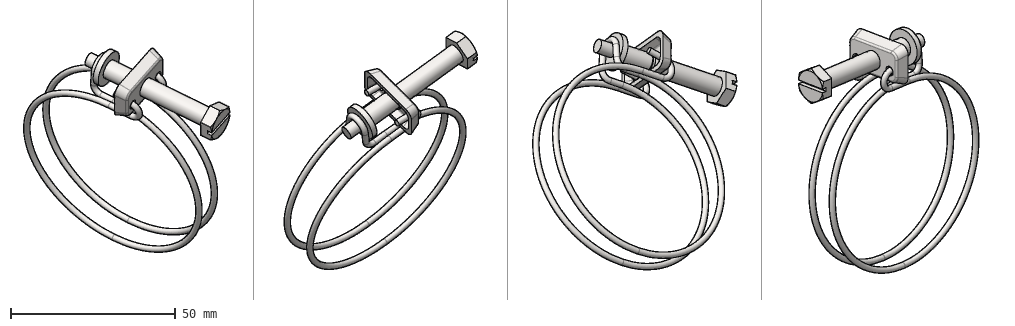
import cadquery as cq
import math


WIRE_DIAMETER = 2.0
WIRE_RADIUS = WIRE_DIAMETER / 2
LOOP_INNER_RADIUS = 30.0
LOOP_RADIUS = LOOP_INNER_RADIUS + WIRE_RADIUS
INNER_STRAND_Y = 4.25
OUTER_STRAND_Y = 6.35
SADDLE_RADIUS = 3.55
LEG_BEND_RADIUS = 3.0
HOOK_START_X = 7.65
HOOK_RADIUS = 3.2
HOOK_LEAN = 5.6
HOOK_RISE = 11
HOOK_END_LENGTH = 6.2

AXIS_Z = 38.75
NECK_DIAMETER = 4.3
NECK_START_X = -11.9
COLLAR_DIAMETER = 11.7
COLLAR_START_X = -6.5
COLLAR_END_X = -4.65
SHAFT_DIAMETER = 6.2
HEAD_END_X = 36.2
HEAD_LENGTH = 4.0
HEAD_SIDES = 6
HEAD_CORNER_DIAMETER = 11.7
HEAD_CHAMFER_ANGLE = 30
SLOT_WIDTH = 1.2
SLOT_DEPTH = 1.6

PLATE_START_X = 4.7
PLATE_DEPTH = 4.0
PLATE_WIDTH = 22.0
PLATE_HEIGHT = 13.15
PLATE_CORNER_RADIUS = 2.7
PLATE_SIDE_INSET = 1.0
PLATE_TOP_INSET = 1.55
CORNER_NARROWING = 0.4
PLATE_EDGE_RADIUS = 0.8
CUP_WIDTH = 19.1
CUP_HEIGHT = 9.75
CUP_CORNER_RADIUS = 2.3
CUP_DEPTH = 2.5
CUP_SIDE_INSET = 0.85
CUP_TOP_INSET = 1.1
CUP_FLOOR_RADIUS = 0.3
BOSS_DIAMETER = 7.1
BOSS_HEIGHT = 0.8
WIRE_HOLE_DIAMETER = 3.0
WIRE_HOLE_Y = 7.0
WIRE_HOLE_Z = 37.2


def direction(degrees):
    """Return the cosine and sine of an angle."""
    angle = math.radians(degrees)
    return math.cos(angle), math.sin(angle)


def make_wire():
    """One round wire: a saddle over the screw neck, then a leg, a loop and a hook on each side."""
    saddle_x = COLLAR_START_X - WIRE_RADIUS
    saddle_top_z = AXIS_Z + NECK_DIAMETER / 2 + WIRE_RADIUS
    saddle_centre_z = saddle_top_z - SADDLE_RADIUS

    drop = saddle_centre_z - LOOP_RADIUS
    reach = math.hypot(INNER_STRAND_Y, drop)
    lean = math.atan2(INNER_STRAND_Y, drop) - math.asin(SADDLE_RADIUS / reach)
    lean_cos, lean_sin = math.cos(lean), math.sin(lean)
    mid_bend_cos, mid_bend_sin = direction(45)
    hook_cos, hook_sin = direction(HOOK_LEAN)
    rise_cos, rise_sin = direction(HOOK_RISE)

    def side_edges(side):
        def place(x, y, z):
            return cq.Vector(x, side * y, z)

        def on_leg(x, height):
            return place(x, INNER_STRAND_Y - height * lean_sin, LOOP_RADIUS + height * lean_cos)

        def on_hook(x, height):
            return place(x, OUTER_STRAND_Y + height * hook_sin, LOOP_RADIUS + height * hook_cos)

        leg_top = place(
            saddle_x,
            SADDLE_RADIUS * lean_cos,
            saddle_centre_z + SADDLE_RADIUS * lean_sin,
        )
        bend_centre_x = saddle_x + LEG_BEND_RADIUS
        bend_start = on_leg(saddle_x, LEG_BEND_RADIUS)
        bend_middle = on_leg(
            bend_centre_x - LEG_BEND_RADIUS * mid_bend_cos,
            LEG_BEND_RADIUS * (1 - mid_bend_sin),
        )
        bend_end = on_leg(bend_centre_x, 0)

        loop_start = place(0, INNER_STRAND_Y, LOOP_RADIUS)
        loop_right = place(LOOP_RADIUS, INNER_STRAND_Y, 0)
        loop_bottom = place(0, INNER_STRAND_Y, -LOOP_RADIUS)
        loop_left = place(-LOOP_RADIUS, (INNER_STRAND_Y + OUTER_STRAND_Y) / 2, 0)
        loop_end = place(0, OUTER_STRAND_Y, LOOP_RADIUS)

        hook_start = on_hook(HOOK_START_X, 0)
        hook_middle = on_hook(HOOK_START_X + HOOK_RADIUS, HOOK_RADIUS)
        hook_top_x = HOOK_START_X + HOOK_RADIUS * rise_sin
        hook_top_height = HOOK_RADIUS * (1 + rise_cos)
        hook_top = on_hook(hook_top_x, hook_top_height)
        tip = on_hook(
            hook_top_x - HOOK_END_LENGTH * rise_cos,
            hook_top_height + HOOK_END_LENGTH * rise_sin,
        )
        return leg_top, [
            cq.Edge.makeLine(leg_top, bend_start),
            cq.Edge.makeThreePointArc(bend_start, bend_middle, bend_end),
            cq.Edge.makeLine(bend_end, loop_start),
            cq.Edge.makeThreePointArc(loop_start, loop_right, loop_bottom),
            cq.Edge.makeThreePointArc(loop_bottom, loop_left, loop_end),
            cq.Edge.makeLine(loop_end, hook_start),
            cq.Edge.makeThreePointArc(hook_start, hook_middle, hook_top),
            cq.Edge.makeLine(hook_top, tip),
        ]

    front_top, front_edges = side_edges(-1)
    back_top, back_edges = side_edges(1)
    saddle = cq.Edge.makeThreePointArc(front_top, cq.Vector(saddle_x, 0, saddle_top_z), back_top)
    path = cq.Wire.assembleEdges([*reversed(front_edges), saddle, *back_edges])
    tip = front_edges[-1].endPoint()
    section = cq.Plane(origin=tip, normal=front_edges[-1].tangentAt(1))
    return cq.Workplane(section).circle(WIRE_RADIUS).sweep(cq.Workplane(path))


def across_screw(x):
    """Workplane square to the screw axis, with local x along Y and local y along Z."""
    return cq.Workplane("YZ", origin=(x, 0, AXIS_Z))


def make_screw():
    """Neck, collar, shaft and a slotted, chamfered hexagon head."""
    head_start_x = HEAD_END_X - HEAD_LENGTH
    neck = across_screw(NECK_START_X).circle(NECK_DIAMETER / 2).extrude(COLLAR_START_X - NECK_START_X)
    collar = across_screw(COLLAR_START_X).circle(COLLAR_DIAMETER / 2).extrude(COLLAR_END_X - COLLAR_START_X)
    shaft = across_screw(COLLAR_END_X).circle(SHAFT_DIAMETER / 2).extrude(head_start_x - COLLAR_END_X)

    corner_radius = HEAD_CORNER_DIAMETER / 2
    flat_radius = corner_radius * math.cos(math.pi / HEAD_SIDES)
    chamfer_width = corner_radius - flat_radius
    chamfer_length = chamfer_width * math.tan(math.radians(HEAD_CHAMFER_ANGLE))
    hexagon = (
        across_screw(head_start_x)
        .transformed(rotate=(0, 0, 90))
        .polygon(HEAD_SIDES, HEAD_CORNER_DIAMETER)
        .extrude(HEAD_LENGTH)
    )
    chamfered_round = (
        across_screw(head_start_x)
        .circle(corner_radius)
        .extrude(HEAD_LENGTH)
        .faces(">X")
        .chamfer(chamfer_length, chamfer_width)
    )
    slot = (
        across_screw(HEAD_END_X - SLOT_DEPTH)
        .rect(HEAD_CORNER_DIAMETER, SLOT_WIDTH)
        .extrude(SLOT_DEPTH)
    )
    head = hexagon.intersect(chamfered_round).cut(slot)
    return neck.union(collar).union(shaft).union(head)


def tapered_block(width, height, depth, corner_radius, side_inset, top_inset):
    """Rounded rectangular block from the plate's open side, each side moving in by its inset along +X."""
    wide = cq.Sketch().rect(width, height).vertices().fillet(corner_radius)
    narrow = (
        cq.Sketch()
        .rect(width - 2 * side_inset, height - 2 * top_inset)
        .vertices()
        .fillet(corner_radius - CORNER_NARROWING)
    )
    return across_screw(PLATE_START_X).placeSketch(wide, narrow.moved(cq.Location((0, 0, depth)))).loft()


def make_plate():
    """Cupped plate with a bossed hole for the screw and a hole for each wire hook."""
    body = tapered_block(
        PLATE_WIDTH,
        PLATE_HEIGHT,
        PLATE_DEPTH,
        PLATE_CORNER_RADIUS,
        PLATE_SIDE_INSET,
        PLATE_TOP_INSET,
    )
    body = body.faces(">X").edges().fillet(PLATE_EDGE_RADIUS)
    cup = tapered_block(
        CUP_WIDTH,
        CUP_HEIGHT,
        CUP_DEPTH,
        CUP_CORNER_RADIUS,
        CUP_SIDE_INSET,
        CUP_TOP_INSET,
    )
    cup = cup.faces(">X").edges().fillet(CUP_FLOOR_RADIUS)
    boss = (
        across_screw(PLATE_START_X + CUP_DEPTH - BOSS_HEIGHT)
        .circle(BOSS_DIAMETER / 2)
        .extrude(BOSS_HEIGHT)
    )
    screw_hole = across_screw(PLATE_START_X).circle(SHAFT_DIAMETER / 2).extrude(PLATE_DEPTH)
    wire_holes = (
        across_screw(PLATE_START_X)
        .pushPoints([(side * WIRE_HOLE_Y, WIRE_HOLE_Z - AXIS_Z) for side in (-1, 1)])
        .circle(WIRE_HOLE_DIAMETER / 2)
        .extrude(PLATE_DEPTH)
    )
    return body.cut(cup).union(boss).cut(screw_hole).cut(wire_holes)


wire = make_wire()
screw = make_screw()
plate = make_plate()

result = cq.Compound.makeCompound([wire.solids().val(), screw.solids().val(), plate.solids().val()])